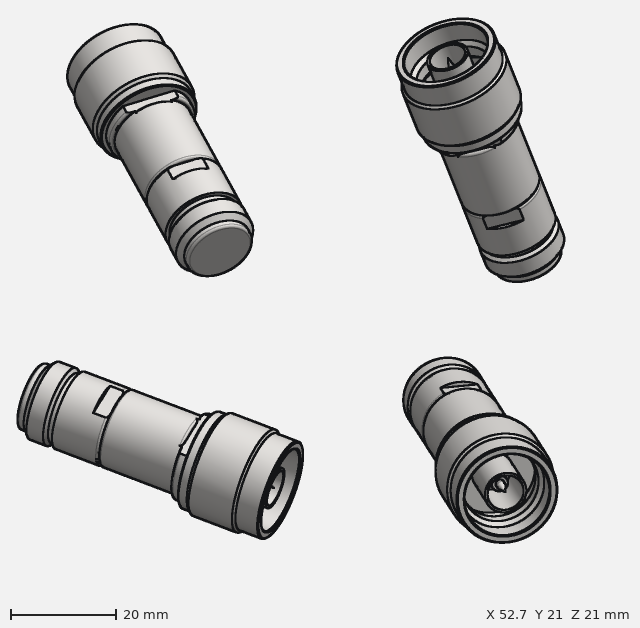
import cadquery as cq

nut_band_start = 5.25
nut_band_end = 14.45
nut_end = 17.1
collar_end = 19.15
joint = 34.85
rear_body_end = 44.65
ring_start = 46.5
ring_end = 50.0
length = 52.7

nut_band_radius = 10.5
nut_radius = 9.9
collar_radius = 8.8
body_radius = 7.9
ring_radius = 7.95
groove_radius = 7.1
tip_radius = 6.75

nut_edge = 0.2
body_round = 0.55
tip_round = 0.55
ring_bevel_length = 0.65
tip_bevel_length = 1.15
nut_front_bevel_length = 0.5
nut_rear_bevel_length = 0.7

flat_height = 7.0
rear_flat_end = 37.95

socket_radius = 8.35
rib_radius = 7.45
socket_lip = 0.2
socket_taper_start = 4.2
rib_start = 5.1
rib_end = 7.55
socket_flare_end = 8.65
socket_floor = 11.6

sleeve_radius = 4.05
sleeve_bore_radius = 3.55
sleeve_start = 1.2
pin_radius = 0.85
pin_tip = 1.5
pin_cone_length = 3.3
shoulder_radius = 1.6
shoulder_start = 5.8


def revolve_profile(points):
    """Revolve (x, radius) points about the X axis."""
    return cq.Workplane("XY").polyline(points).close().revolve(360, (0, 0, 0), (1, 0, 0))


def cylinder(start, end, radius):
    return cq.Workplane("YZ", origin=(start, 0, 0)).circle(radius).extrude(end - start)


def cut_flats(solid, start, end):
    """Keep only the material between the two wrench flats from start to end."""
    middle = (start + end) / 2
    block_height = collar_radius
    for side in (1, -1):
        block = cq.Workplane("XY").box(end - start, 2 * collar_radius, block_height)
        solid = solid.cut(block.translate((middle, 0, side * (flat_height + block_height / 2))))
    return solid


def make_nut():
    return revolve_profile([
        (0, 0),
        (0, nut_radius - nut_edge),
        (nut_edge, nut_radius),
        (nut_band_start - nut_front_bevel_length, nut_radius),
        (nut_band_start, nut_band_radius),
        (nut_band_end, nut_band_radius),
        (nut_band_end + nut_rear_bevel_length, nut_radius),
        (nut_end - nut_edge, nut_radius),
        (nut_end, nut_radius - nut_edge),
        (nut_end, 0),
    ])


def make_collar():
    collar = cylinder(nut_end, collar_end, collar_radius).faces(">X").edges().fillet(body_round)
    return cut_flats(collar, nut_end, collar_end)


def make_front_body():
    """Round-ended barrel, with a flatted core that carries the collar outline past its first round."""
    barrel = cylinder(collar_end, joint, body_radius).edges().fillet(body_round)
    core_end = collar_end + body_round
    core = cut_flats(cylinder(collar_end, core_end, body_radius), collar_end, core_end)
    return barrel.union(core)


def make_rear_body():
    barrel = cylinder(joint, rear_body_end, body_radius).faces("<X").edges().fillet(body_round)
    return cut_flats(barrel, joint, rear_flat_end)


def make_rear_end():
    """Relief groove, bevelled ring and rounded tip."""
    return revolve_profile([
        (rear_body_end, 0),
        (rear_body_end, groove_radius),
        (ring_start - ring_bevel_length, groove_radius),
        (ring_start, ring_radius),
        (ring_end, ring_radius),
        (ring_end + tip_bevel_length, tip_radius),
        (length, tip_radius),
        (length, 0),
    ]).faces(">X").edges().fillet(tip_round)


def make_socket():
    """Bore narrowed by an inner rib that tapers at the front and flares at the back."""
    return revolve_profile([
        (0, 0),
        (0, socket_radius + socket_lip),
        (socket_lip, socket_radius),
        (socket_taper_start, socket_radius),
        (rib_start, rib_radius),
        (rib_end, rib_radius),
        (socket_flare_end, socket_radius),
        (socket_floor, socket_radius),
        (socket_floor, 0),
    ])


def make_sleeve():
    sleeve = cylinder(sleeve_start, socket_floor, sleeve_radius)
    return sleeve.cut(cylinder(sleeve_start, socket_floor, sleeve_bore_radius))


def make_pin():
    pin_cone_end = pin_tip + pin_cone_length
    return revolve_profile([
        (pin_tip, 0),
        (pin_cone_end, pin_radius),
        (shoulder_start, pin_radius),
        (shoulder_start, shoulder_radius),
        (socket_floor, shoulder_radius),
        (socket_floor, 0),
    ])


result = make_nut().cut(make_socket())
for piece in (
    make_sleeve(), make_pin(), make_collar(), make_front_body(), make_rear_body(), make_rear_end(),
):
    result = result.union(piece)